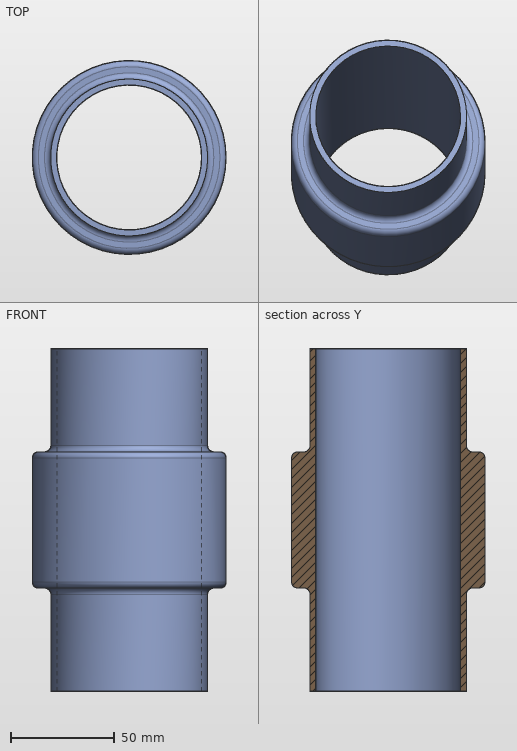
import cadquery as cq

length = 166.0
pipe_diameter = 76.0
bore_diameter = 70.0

body_diameter = 94.0
body_length = 66.0
shoulder_radius = 3.0

half_length = length / 2
half_body = body_length / 2
bore_radius = bore_diameter / 2
pipe_radius = pipe_diameter / 2
body_radius = body_diameter / 2

rim_start = half_body - shoulder_radius
root_end = half_body + shoulder_radius

wall_section = (
    cq.Workplane("XZ")
    .moveTo(bore_radius, -half_length)
    .lineTo(pipe_radius, -half_length)
    .lineTo(pipe_radius, -root_end)
    .radiusArc((pipe_radius + shoulder_radius, -half_body), shoulder_radius)
    .lineTo(body_radius - shoulder_radius, -half_body)
    .radiusArc((body_radius, -rim_start), -shoulder_radius)
    .lineTo(body_radius, rim_start)
    .radiusArc((body_radius - shoulder_radius, half_body), -shoulder_radius)
    .lineTo(pipe_radius + shoulder_radius, half_body)
    .radiusArc((pipe_radius, root_end), shoulder_radius)
    .lineTo(pipe_radius, half_length)
    .lineTo(bore_radius, half_length)
    .close()
)

result = wall_section.revolve(360, (0, 0), (0, 1))